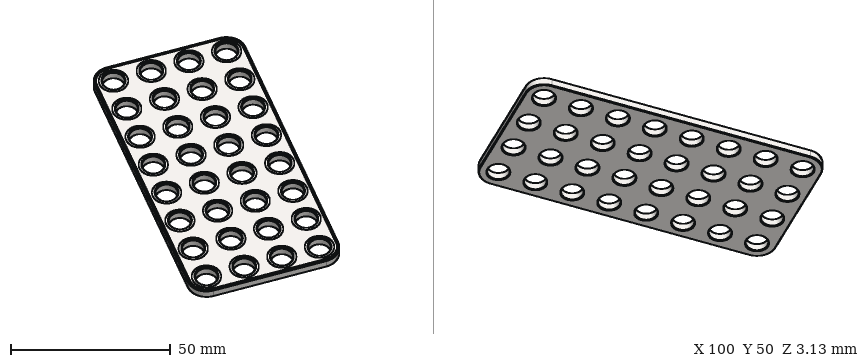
import cadquery as cq

columns = 8
rows = 4
pitch = 12.5
length = columns * pitch
width = rows * pitch
thickness = pitch / 4
corner_radius = pitch / 2

hole_diameter = 7.0
edge_chamfer = 0.3

rim_width = 0.8
land_diameter = 9.2
recess_depth = 0.2


def rounded_slab(inset, height, base):
    """Rounded rectangle following the plate outline, set in by `inset`."""
    slab = cq.Workplane("XY", origin=(0, 0, base)).rect(length - 2 * inset, width - 2 * inset)
    return slab.extrude(height).edges("|Z").fillet(corner_radius - inset)


def hole_pins(diameter, height, base):
    """One cylinder at every hole position."""
    grid = cq.Workplane("XY", origin=(0, 0, base)).rarray(pitch, pitch, columns, rows)
    return grid.circle(diameter / 2).extrude(height)


plate = rounded_slab(0, thickness, 0).cut(hole_pins(hole_diameter, thickness, 0))
plate = plate.faces("<Z or >Z").chamfer(edge_chamfer)

recess_floor = thickness - recess_depth
recess = rounded_slab(rim_width, recess_depth, recess_floor)
recess = recess.cut(hole_pins(land_diameter, recess_depth, recess_floor))

result = plate.cut(recess)